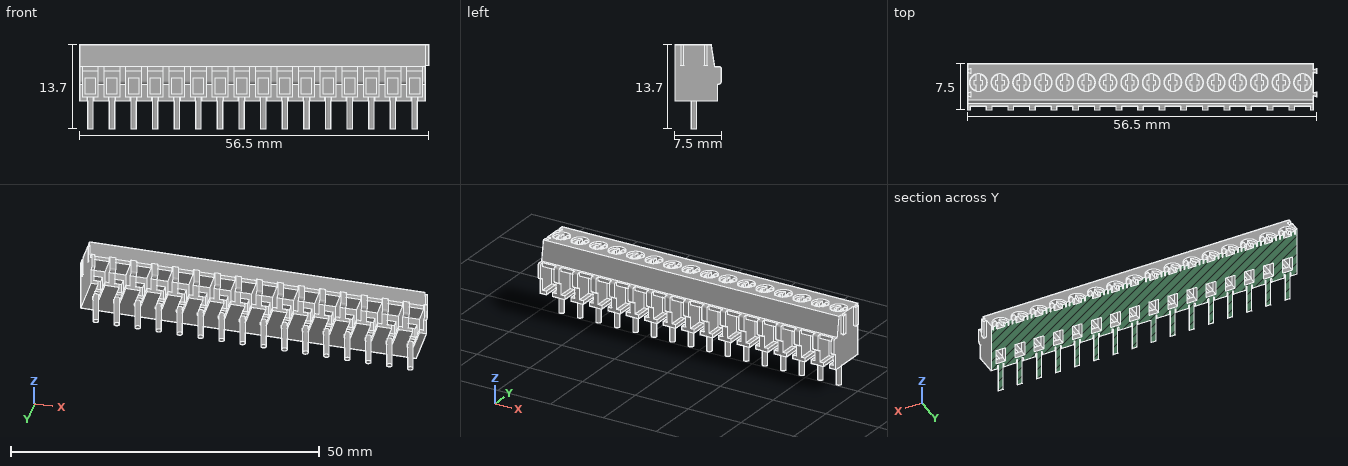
import cadquery as cq


total_length = 56.55
body_length = 56.0
pole_count = 16
pole_pitch = body_length / pole_count
body_height = 9.15

top_depth = 5.9
slope_foot_depth = 6.45
front_depth = 6.9
ledge_depth = 7.5

ledge_top = 5.6
ledge_bottom = 2.7
ledge_top_radius = 0.35
ledge_bottom_radius = 0.55

entry_width = 2.55
entry_floor = 0.7
entry_roof = 4.9
entry_back_depth = 4.1
clamp_width = 1.7
clamp_bottom = 1.2
clamp_top = 3.75
clamp_hole_length = 1.15

axis_depth = 3.05
pin_diameter = 0.9
pin_length = 4.5
pin_notch_width = 1.15

screw_hole_diameter = 2.9
screw_diameter = 2.7
screw_recess = 0.3
slot_depth = 0.7
slot_width = 0.75
cross_slot_length = 1.4

dovetail_depths = (1.2, 5.0)
dovetail_neck = 0.45
dovetail_head = 0.8
dovetail_reach = total_length - body_length
dovetail_height = 3.4


def block(x_center, width, depth_from, depth_to, z_from, z_to):
    """Box centred on x_center, spanning two depths from the back face and two heights."""
    corner = (x_center - width / 2, -depth_to, z_from)
    return cq.Workplane("XY").box(width, depth_to - depth_from, z_to - z_from, centered=False).translate(corner)


def upright_cylinder(x_center, diameter, z_from, z_to):
    """Vertical cylinder on a pole axis."""
    base = cq.Workplane("XY", origin=(x_center, -axis_depth, z_from))
    return base.circle(diameter / 2).extrude(z_to - z_from)


def make_body():
    """Side profile with a sloping upper front and a rounded ledge, run along the row."""
    profile = (
        cq.Workplane("YZ")
        .moveTo(0, 0)
        .lineTo(0, body_height)
        .lineTo(-top_depth, body_height)
        .lineTo(-slope_foot_depth, ledge_top)
        .lineTo(ledge_top_radius - ledge_depth, ledge_top)
        .radiusArc((-ledge_depth, ledge_top - ledge_top_radius), -ledge_top_radius)
        .lineTo(-ledge_depth, ledge_bottom + ledge_bottom_radius)
        .radiusArc((ledge_bottom_radius - ledge_depth, ledge_bottom), -ledge_bottom_radius)
        .lineTo(-front_depth, ledge_bottom)
        .lineTo(-front_depth, 0)
        .close()
    )
    return profile.extrude(body_length)


def wire_entry(x):
    """Gap in the ledge, the deep pocket behind it and the clamp opening in the pocket's back wall."""
    ledge_gap = block(x, entry_width, front_depth, ledge_depth, ledge_bottom, ledge_top)
    pocket = block(x, entry_width, entry_back_depth, front_depth, entry_floor, entry_roof)
    clamp_back_depth = entry_back_depth - clamp_hole_length
    clamp = block(x, clamp_width, clamp_back_depth, entry_back_depth, clamp_bottom, clamp_top)
    return ledge_gap.union(pocket).union(clamp)


def pin_notch(x):
    """Round-ended notch in the pocket floor, open at the front, that clears the pin."""
    channel = block(x, pin_notch_width, axis_depth, front_depth, 0, entry_floor)
    return channel.union(upright_cylinder(x, pin_notch_width, 0, entry_floor))


def pin(x):
    """Round solder pin hanging from the roof of its notch."""
    return upright_cylinder(x, pin_diameter, -pin_length, entry_floor)


def screw_hole(x):
    """Round well in the top face, as deep as the screw slots."""
    return upright_cylinder(x, screw_hole_diameter, body_height - screw_recess - slot_depth, body_height)


def screw(x):
    """Sunken screw head with a full-width slot and a short cross slot."""
    head_top = body_height - screw_recess
    slot_bottom = head_top - slot_depth
    head = upright_cylinder(x, screw_diameter, slot_bottom, head_top)
    half_hole = screw_hole_diameter / 2
    half_slot = slot_width / 2
    long_slot = block(x, slot_width, axis_depth - half_hole, axis_depth + half_hole, slot_bottom, head_top)
    cross_slot = block(
        x, cross_slot_length, axis_depth - half_slot, axis_depth + half_slot, slot_bottom, head_top
    )
    return head.cut(long_slot).cut(cross_slot)


def dovetail(x_neck, x_head, depth):
    """Upright dovetail, narrow at x_neck and wide at x_head, hanging from the top face."""
    outline = [
        (x_neck, -depth - dovetail_neck / 2),
        (x_head, -depth - dovetail_head / 2),
        (x_head, -depth + dovetail_head / 2),
        (x_neck, -depth + dovetail_neck / 2),
    ]
    return cq.Workplane("XY", origin=(0, 0, body_height)).polyline(outline).close().extrude(-dovetail_height)


result = make_body()

for pole in range(pole_count):
    pole_x = (pole + 0.5) * pole_pitch
    result = result.cut(wire_entry(pole_x)).cut(pin_notch(pole_x)).cut(screw_hole(pole_x))
    result = result.union(pin(pole_x)).union(screw(pole_x))

for dovetail_depth in dovetail_depths:
    result = result.cut(dovetail(0, dovetail_reach, dovetail_depth))
    result = result.union(dovetail(body_length, total_length, dovetail_depth))